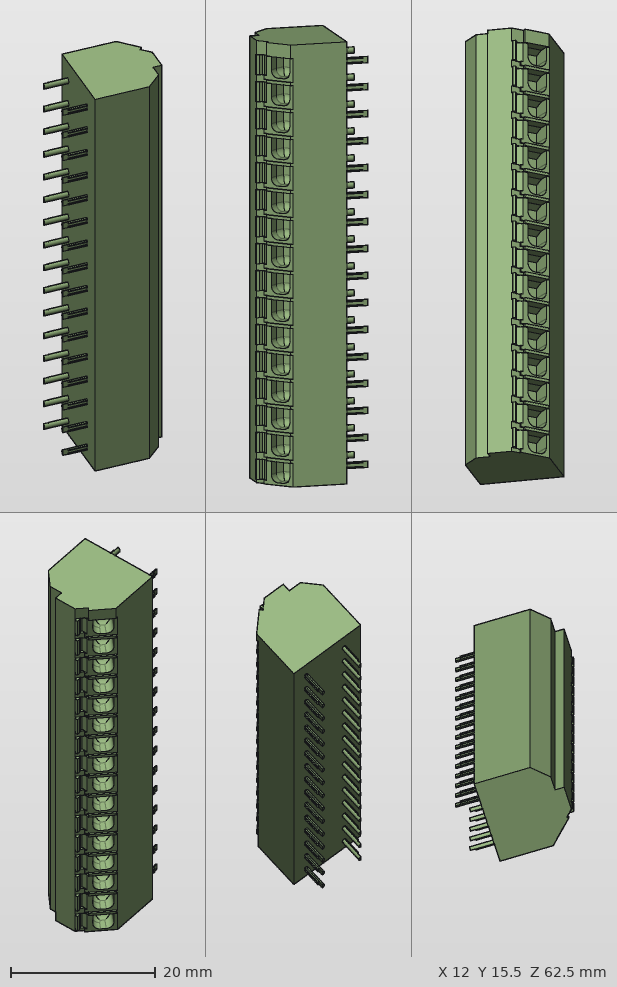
import cadquery as cq

length = 62.45
half_width = 6.0
shoulder_y = 8.1
top_y = 11.75
step_x = 1.8
shelf_y = 10.4
shelf_edge_x = 3.8

end_level = half_width + shoulder_y
recess_level = 13.75
lever_level = 13.35
rib_top_y = 10.8
plate_top_y = 11.0

pole_count = 16
pitch = 3.8
recess_height = 3.4

entry_low_y = 8.1
entry_high_y = 10.2
entry_bend_y = 9.2
steep_run = 0.6
steep_drop = 1.25
entry_height = 3.0
entry_round = 1.05
ceiling_drop = 0.9
ceiling_run = 2.5

lever_top_x = -2.2
lever_lip_x = -2.25
lever_end_x = -1.8
lever_top_y = 11.9
lever_lip_y = 11.5
lever_root_x = -2.0
lever_root_y = 11.0
lever_foot_x = -2.05
slot_floor_y = 10.75
lever_height = 2.8
lever_embed = 0.6

pin_rows = ((-3.5, -1), (2.7, 1))
pin_length = 3.6
pin_z = 2.2
pin_depth = 0.55
pin_width = 0.95
pin_open_width = 0.75
groove_depth = 0.2
groove_width = 0.5
tip_length = 0.75
pin_embed = 0.3


def prism(points, bottom, height):
    return cq.Workplane("XY").workplane(offset=bottom).polyline(points).close().extrude(height)


def on_slope(level, y):
    return (y - level, y)


def stepped_down(point, level):
    """Meet the slope of the given level, going square to the slopes from a point."""
    total = point[0] + point[1]
    return ((total - level) / 2, (total + level) / 2)


def make_housing():
    rib_top = on_slope(end_level, rib_top_y)
    outline = [
        (-half_width, 0),
        (half_width, 0),
        (half_width, shoulder_y),
        (shelf_edge_x, shelf_y),
        (step_x, shelf_y),
        (step_x, top_y),
        on_slope(lever_level, top_y),
        stepped_down(rib_top, lever_level),
        rib_top,
        (-half_width, shoulder_y),
    ]
    return prism(outline, 0, length)


def make_recess():
    rib_top = on_slope(end_level, rib_top_y)
    outline = [
        (-half_width, shoulder_y),
        (-half_width, recess_level - half_width),
        stepped_down(rib_top, recess_level),
        rib_top,
    ]
    return prism(outline, 0, recess_height)


def make_plate():
    """Part of the sunken face that reaches past the ribs toward the lever."""
    rib_foot = stepped_down(on_slope(end_level, rib_top_y), lever_level)
    plate_top = on_slope(recess_level, plate_top_y)
    outline = [
        rib_foot,
        stepped_down(rib_foot, recess_level),
        plate_top,
        stepped_down(plate_top, lever_level),
    ]
    return prism(outline, 0, recess_height)


def make_wire_entry():
    low_rim = on_slope(recess_level, entry_low_y)
    high_rim = on_slope(recess_level, entry_high_y)
    bend = (high_rim[0] + entry_high_y - entry_bend_y, entry_bend_y)
    inner_high = (bend[0] + steep_run, bend[1] - steep_drop)
    inner_level = inner_high[1] - inner_high[0]
    inner_low = stepped_down(low_rim, inner_level)
    mouth_low = stepped_down(low_rim, end_level)
    mouth_high = stepped_down(high_rim, end_level)
    outline = [mouth_low, mouth_high, bend, inner_high, inner_low]
    bottom = recess_height - entry_height
    entry = prism(outline, bottom, entry_height)
    rounded = entry.faces("<Z").edges("not >(-1, 1, 0)").fillet(entry_round)
    ceiling_plane = cq.Plane(
        origin=(*bend, recess_height), xDir=(1, -1, 0), normal=(1, 1, 0)
    )
    ceiling = (
        cq.Workplane(ceiling_plane)
        .polyline([(0, 0), (ceiling_run, 0), (ceiling_run, ceiling_drop)])
        .close()
        .extrude(half_width, both=True)
    )
    return rounded.cut(ceiling)


def make_lever_slot():
    outline = [
        on_slope(recess_level, slot_floor_y),
        (lever_foot_x, slot_floor_y),
        (lever_root_x, lever_root_y),
        (lever_lip_x, lever_lip_y),
    ]
    return prism(outline, recess_height - lever_height, lever_height)


def make_lever():
    outline = [
        (lever_top_x, lever_top_y),
        (lever_lip_x, lever_lip_y),
        (lever_root_x, lever_root_y),
        (lever_end_x + lever_embed, lever_root_y),
        (lever_end_x + lever_embed, top_y),
        (lever_end_x, top_y),
        (lever_end_x, lever_top_y),
    ]
    return prism(outline, recess_height - lever_height, lever_height)


def make_pin(back_x, side):
    open_x = back_x + side * pin_depth
    widest_x = open_x - side * groove_depth
    half = pin_width / 2
    pin = (
        cq.Workplane("XZ", origin=(0, pin_embed, pin_z))
        .moveTo(widest_x, -half)
        .threePointArc((back_x, 0), (widest_x, half))
        .lineTo(open_x, pin_open_width / 2)
        .lineTo(open_x, -pin_open_width / 2)
        .close()
        .extrude(pin_length + pin_embed)
    )
    groove = (
        cq.Workplane("XY")
        .box(2 * groove_depth, 2 * pin_length, groove_width)
        .translate((open_x, -pin_length, pin_z))
    )
    tip_relief = (
        cq.Workplane("XY")
        .box(2 * groove_depth, 2 * tip_length, 2 * pin_width)
        .translate((open_x, -pin_length, pin_z))
    )
    return pin.cut(groove).cut(tip_relief)


def repeat_per_pole(part):
    copies = [part.val().translate(cq.Vector(0, 0, pole * pitch)) for pole in range(pole_count)]
    return cq.Workplane("XY").newObject(copies)


housing = make_housing()
for cutter in (make_recess(), make_wire_entry(), make_lever_slot()):
    housing = housing.cut(repeat_per_pole(cutter))

additions = [make_plate().cut(make_lever_slot()), make_lever()]
additions += [make_pin(back_x, side) for back_x, side in pin_rows]
for addition in additions:
    housing = housing.union(repeat_per_pole(addition))

result = housing